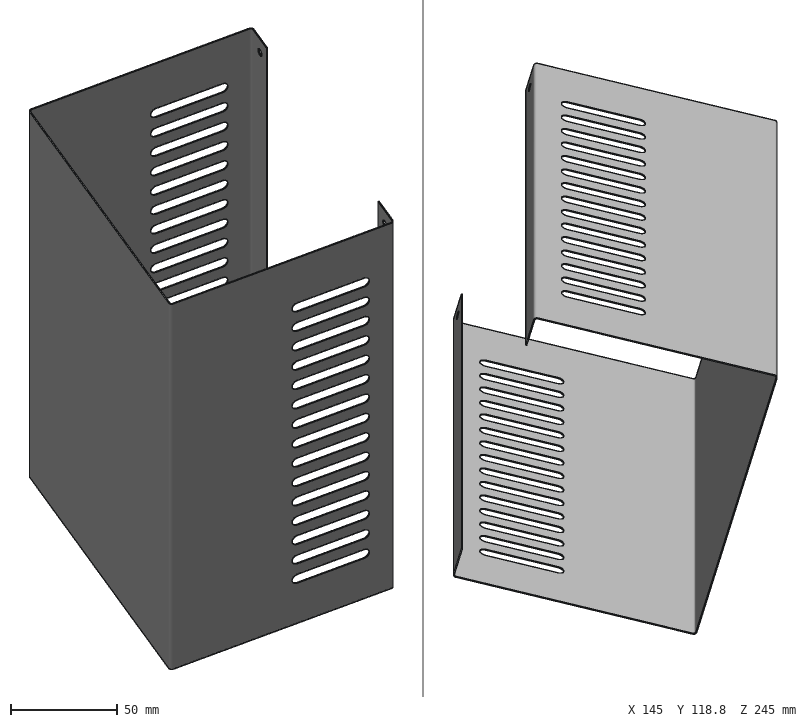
import cadquery as cq

WIDTH = 145.0
DEPTH = 118.8
HEIGHT = 245.0

SHEET = 0.61
INNER_BEND = 1.0
OUTER_BEND = INNER_BEND + SHEET

LIP_LENGTH = 15.7
LIP_HOLE_DIAMETER = 4.0
LIP_HOLE_FROM_TOP = 8.8
LIP_HOLE_FROM_SIDE = 8.8

SLOT_COUNT = 15
SLOT_COLUMN_SPAN = 182.0
SLOT_PITCH = SLOT_COLUMN_SPAN / (SLOT_COUNT - 1)
SLOT_LENGTH = 41.0
SLOT_HEIGHT = 6.0
SLOT_FROM_REAR = 13.2
TOP_SLOT_FROM_TOP = 30.1

REAR_Y = DEPTH
HALF_WIDTH = WIDTH / 2


def rounded_block(width, depth, corner_radius):
    """Full-height block centred on X, from Y = 0, with rounded vertical edges."""
    block = cq.Workplane("XY").box(width, depth, HEIGHT, centered=(True, False, False))
    return block.edges("|Z").fillet(corner_radius)


def folded_sheet():
    """Front wall, two side walls and two rear lips of constant thickness."""
    inside = rounded_block(WIDTH - 2 * SHEET, DEPTH - 2 * SHEET, INNER_BEND)
    tube = rounded_block(WIDTH, DEPTH, OUTER_BEND).cut(inside.translate((0, SHEET, 0)))
    opening_width = WIDTH - 2 * LIP_LENGTH
    opening = cq.Workplane("XY").box(
        opening_width, DEPTH / 2, HEIGHT, centered=(True, False, False)
    )
    return tube.cut(opening.translate((0, REAR_Y - DEPTH / 2, 0)))


def side_slots():
    """Round-ended cutters that run along X through both side walls."""
    center_y = REAR_Y - SLOT_FROM_REAR - SLOT_LENGTH / 2
    top_z = HEIGHT - TOP_SLOT_FROM_TOP - SLOT_HEIGHT / 2
    centers = [(center_y, top_z - i * SLOT_PITCH) for i in range(SLOT_COUNT)]
    return (
        cq.Workplane("YZ")
        .pushPoints(centers)
        .slot2D(SLOT_LENGTH, SLOT_HEIGHT)
        .extrude(HALF_WIDTH, both=True)
    )


def lip_holes():
    """Fixing hole cutters near the top of both lips."""
    hole_x = HALF_WIDTH - LIP_HOLE_FROM_SIDE
    hole_z = HEIGHT - LIP_HOLE_FROM_TOP
    return (
        cq.Workplane("XZ", origin=(0, REAR_Y, 0))
        .pushPoints([(-hole_x, hole_z), (hole_x, hole_z)])
        .circle(LIP_HOLE_DIAMETER / 2)
        .extrude(OUTER_BEND)
    )


result = folded_sheet().cut(side_slots()).cut(lip_holes())